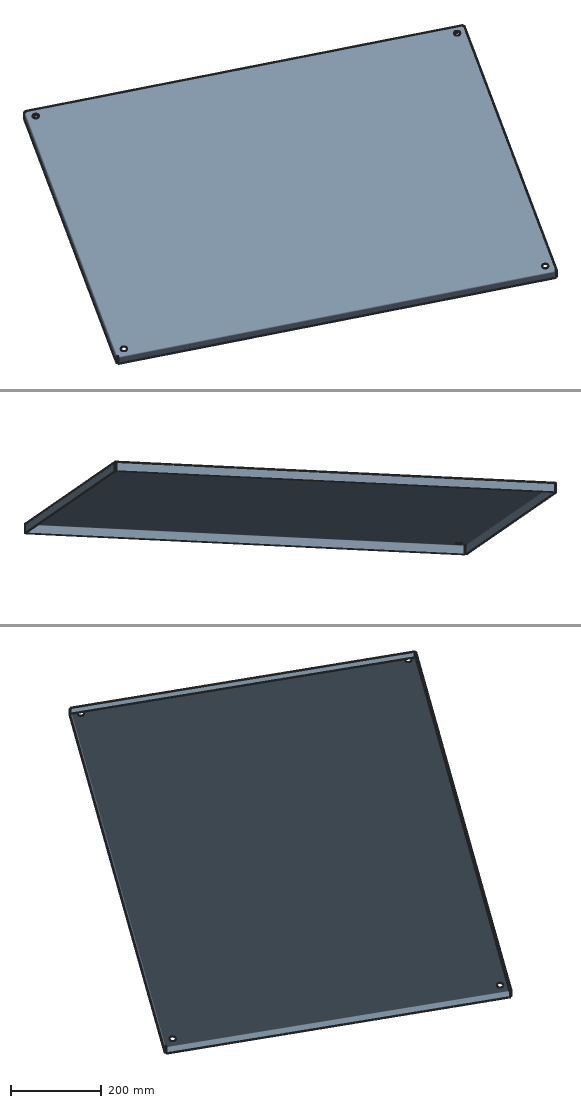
import cadquery as cq

width = 787.0
length = 1013.0
height = 22.0
sheet = 2.0
bend_radius = 3.0
corner_relief = 4.0
hole_diameter = 14.0
hole_inset = 22.0


def tray_volume(offset):
    """Rounded-top block, inset by the offset on the sides and top."""
    block = cq.Workplane("XY").box(
        width - 2 * offset, length - 2 * offset, height - offset, centered=(True, True, False)
    )
    return block.faces(">Z").edges().fillet(bend_radius - offset)


panel = tray_volume(0).cut(tray_volume(sheet))

reliefs = (
    cq.Workplane("XY")
    .rect(width - corner_relief, length - corner_relief, forConstruction=True)
    .vertices()
    .rect(corner_relief, corner_relief)
    .extrude(height)
)

holes = (
    cq.Workplane("XY")
    .rect(width - 2 * hole_inset, length - 2 * hole_inset, forConstruction=True)
    .vertices()
    .circle(hole_diameter / 2)
    .extrude(height)
)

result = panel.cut(reliefs).cut(holes)